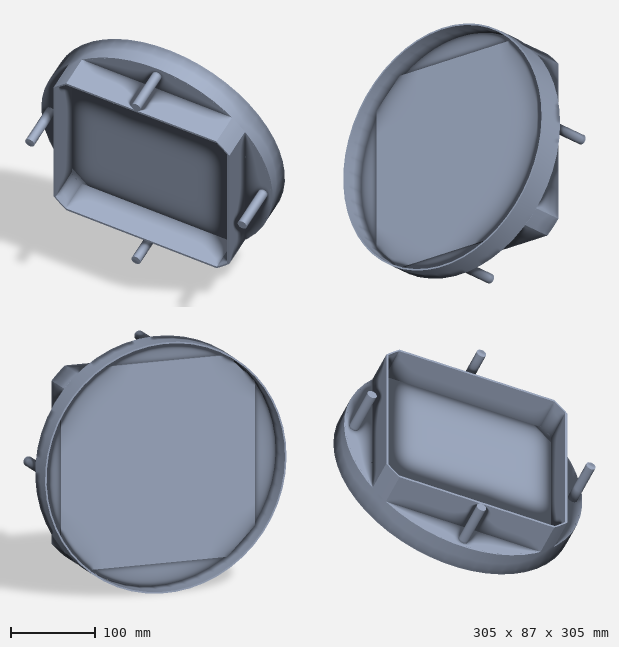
import cadquery as cq
import math

RING_DIAMETER = 305.0
RING_BORE = 301.0
RING_DEPTH = 32.0
SEAM_ANGLE = 96.0

FRAME_OUTER = 232.0
FRAME_WALL = 3.0
FRAME_INNER = FRAME_OUTER - 2 * FRAME_WALL
FRAME_LENGTH = 41.0
FLANGE_THICKNESS = 1.5

HOLE_DIAMETER = 4.0
HOLE_OFFSET = FRAME_OUTER / 2 - 0.5
SIDE_HOLE_HEIGHT = 54.0
END_HOLE_SHIFT = 8.0

PANEL_SIZE = 245.0
SHEET_DEPTH = 4.0
SHEET_THICKNESS = 0.5
BACKING_THICKNESS = 2.0

PIN_DIAMETER = 12.0
PIN_CIRCLE_DIAMETER = 280.0
PIN_COUNT = 4
PIN_LENGTH = 55.0


def plane_at(y):
    """Sketch plane at depth y that extrudes toward -Y; its x runs along X and its y along Z."""
    return cq.Workplane("XZ", origin=(0, y, 0))


def turn_about_y(body, degrees):
    """Turn a body about the Y axis, from +X toward +Z."""
    return body.rotate((0, 0, 0), (0, -1, 0), degrees)


def disc(diameter, front, back):
    return plane_at(back).circle(diameter / 2).extrude(back - front)


def square_block(size, front, back):
    return plane_at(back).rect(size, size).extrude(back - front)


def make_ring():
    """Plain tube around the flange and panels."""
    ring = disc(RING_DIAMETER, 0, RING_DEPTH).cut(disc(RING_BORE, 0, RING_DEPTH))
    return turn_about_y(ring, SEAM_ANGLE)


def make_frame():
    """Square tube whose flange covers the bore outside the square and has six small holes."""
    outside = square_block(FRAME_OUTER, -FRAME_LENGTH, 0).intersect(disc(RING_DIAMETER, -FRAME_LENGTH, 0))
    inside = square_block(FRAME_INNER, -FRAME_LENGTH, 0).intersect(disc(RING_BORE, -FRAME_LENGTH, 0))
    tube = outside.cut(inside)

    flange = turn_about_y(disc(RING_BORE, 0, FLANGE_THICKNESS), SEAM_ANGLE)
    flange = flange.cut(square_block(FRAME_INNER, 0, FLANGE_THICKNESS))

    hole_places = [(-END_HOLE_SHIFT, HOLE_OFFSET), (END_HOLE_SHIFT, -HOLE_OFFSET)]
    for side in (-1, 1):
        for end in (-1, 1):
            hole_places.append((side * HOLE_OFFSET, end * SIDE_HOLE_HEIGHT))
    holes = plane_at(FLANGE_THICKNESS).pushPoints(hole_places).circle(HOLE_DIAMETER / 2)
    flange = flange.cut(holes.extrude(FLANGE_THICKNESS))

    return tube.union(flange, clean=False)


def corner_cut_ends():
    """Ends of the panels' corner cuts on the bore: two per corner, starting at +X +Z."""
    long_side = PANEL_SIZE / 2
    short_side = math.sqrt((RING_BORE / 2) ** 2 - long_side**2)
    ends = []
    for x_sign, z_sign in ((1, 1), (-1, 1), (-1, -1), (1, -1)):
        pair = [
            (x_sign * long_side, z_sign * short_side),
            (x_sign * short_side, z_sign * long_side),
        ]
        if x_sign != z_sign:
            pair.reverse()
        ends.extend(pair)
    return ends


def make_sheet():
    """Thin sheet whose corners are cut by inward arcs that mirror the bore across a straight cut."""
    ends = corner_cut_ends()
    cut_distance = (ends[0][0] + ends[0][1]) / math.sqrt(2)
    arc_middle = (2 * cut_distance - RING_BORE / 2) / math.sqrt(2)
    outline = plane_at(SHEET_DEPTH + SHEET_THICKNESS).moveTo(*ends[-1])
    for start, end in zip(ends[::2], ends[1::2]):
        middle = (math.copysign(arc_middle, start[0]), math.copysign(arc_middle, start[1]))
        outline = outline.lineTo(*start).threePointArc(middle, end)
    return outline.close().extrude(SHEET_THICKNESS)


def make_backing():
    """Plate behind the sheet, with straight corner cuts."""
    back = SHEET_DEPTH + SHEET_THICKNESS + BACKING_THICKNESS
    return plane_at(back).polyline(corner_cut_ends()).close().extrude(BACKING_THICKNESS)


def make_pin(index):
    """One pin standing on the flange, turned to its place on the pin circle."""
    pin = plane_at(0).center(PIN_CIRCLE_DIAMETER / 2, 0).circle(PIN_DIAMETER / 2).extrude(PIN_LENGTH)
    return turn_about_y(pin, index * 360 / PIN_COUNT)


ring = make_ring()
frame = make_frame()
sheet = make_sheet()
backing = make_backing()
pins = [make_pin(index).val() for index in range(PIN_COUNT)]

result = cq.Compound.makeCompound([ring.val(), frame.val(), sheet.val(), backing.val(), *pins])